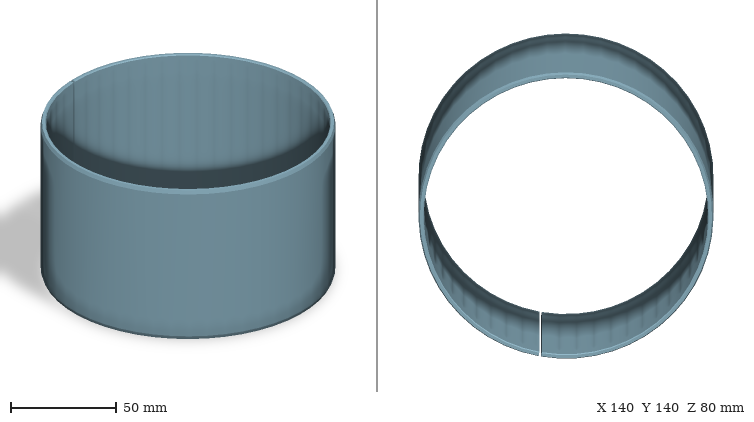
import cadquery as cq
import math

outer_diameter = 140.0
height = 80.0
wall = 2.5
split_angle = 1.0
outer_chamfer_height = 1.8
outer_chamfer_angle = 20.0
inner_chamfer = 0.4

outer_radius = outer_diameter / 2
inner_radius = outer_radius - wall
half_height = height / 2
outer_chamfer_depth = outer_chamfer_height * math.tan(math.radians(outer_chamfer_angle))


def wall_section():
    """Section of the wall on the -X side, chamfered at both ends."""
    section = [
        (-inner_radius, -half_height + inner_chamfer),
        (-inner_radius - inner_chamfer, -half_height),
        (-outer_radius + outer_chamfer_depth, -half_height),
        (-outer_radius, -half_height + outer_chamfer_height),
        (-outer_radius, half_height - outer_chamfer_height),
        (-outer_radius + outer_chamfer_depth, half_height),
        (-inner_radius - inner_chamfer, half_height),
        (-inner_radius, half_height - inner_chamfer),
    ]
    return cq.Workplane("XZ").polyline(section).close()


result = wall_section().revolve(360 - split_angle, (0, 0), (0, 1))